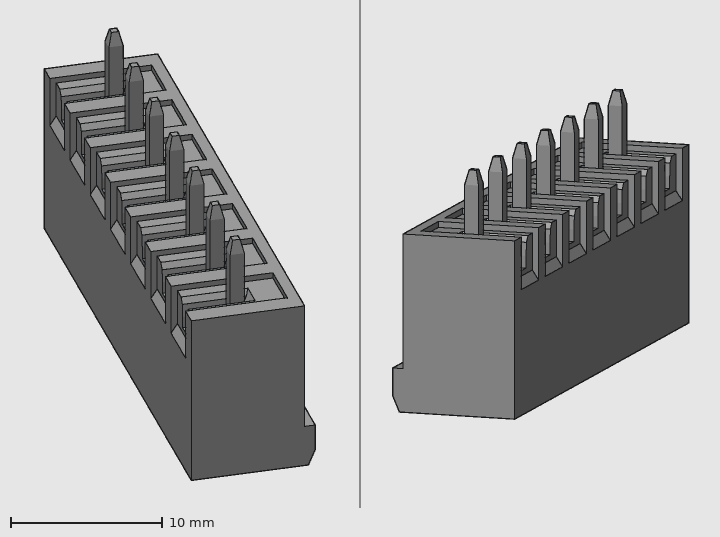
import cadquery as cq

length = 36.4
body_depth = 7.8
body_height = 12.0

ledge_overhang = 0.73
ledge_height = 2.95
ledge_bevel_depth = 0.47
ledge_bevel_height = 1.1

pin_count = 7
pin_span = 30.0
pin_width = 1.0
pin_front = 3.42
pin_protrusion = 4.0
pin_tip_width = 0.5
pin_tip_height = 1.0

recess_width = 3.6
recess_depth = 0.4
recess_back = 7.0
sill_length = 0.45
sill_rear_depth = 2.88
sill_front_depth = 3.53

slot_mouth_width = 1.8
slot_throat_width = 1.15
slot_throat_depth = 0.8
slot_bend_depth = 1.7
slot_floor_depth = 2.5
slot_back = 5.02

pin_pitch = pin_span / (pin_count - 1)
pin_back = pin_front + pin_width
pin_centre_y = pin_front + pin_width / 2
recess_floor = body_height - recess_depth
slot_throat = body_height - slot_throat_depth
slot_bend = body_height - slot_bend_depth
slot_floor = body_height - slot_floor_depth
pin_xs = [(i - (pin_count - 1) / 2) * pin_pitch for i in range(pin_count)]


def extrude_along_x(points, width, centre_x=0.0):
    """Extrude a (y, z) outline symmetrically about centre_x."""
    return (
        cq.Workplane("YZ", origin=(centre_x, 0, 0))
        .polyline(points)
        .close()
        .extrude(width / 2, both=True)
    )


def make_housing():
    ledge_back = body_depth + ledge_overhang
    outline = [
        (0, 0),
        (ledge_back - ledge_bevel_depth, 0),
        (ledge_back, ledge_bevel_height),
        (ledge_back, ledge_height),
        (body_depth, ledge_height),
        (body_depth, body_height),
        (0, body_height),
    ]
    return extrude_along_x(outline, length)


def make_recess(x):
    """Shallow recess that drops to a sloping sill at the front face."""
    outline = [
        (0, body_height - sill_front_depth),
        (sill_length, body_height - sill_rear_depth),
        (sill_length, recess_floor),
        (recess_back, recess_floor),
        (recess_back, body_height),
        (0, body_height),
    ]
    return extrude_along_x(outline, recess_width, x)


def make_slot(x):
    """Slot whose sides and rear wall close in on the pin, then drop straight to the floor."""
    half_section = [
        (pin_width / 2, slot_floor),
        (pin_width / 2, slot_bend),
        (slot_throat_width / 2, slot_throat),
        (slot_mouth_width / 2, recess_floor),
    ]
    mirrored = [(-px, pz) for px, pz in reversed(half_section)]
    section = [(x + px, pz) for px, pz in half_section + mirrored]
    trough = cq.Workplane("XZ").polyline(section).close().extrude(-slot_back)
    side_outline = [
        (0, slot_floor),
        (pin_back, slot_floor),
        (pin_back, slot_bend),
        (slot_back, recess_floor),
        (0, recess_floor),
    ]
    return trough.intersect(extrude_along_x(side_outline, slot_mouth_width, x))


def make_pin(x):
    """Square pin with a pyramidal tip, standing on the slot floor."""
    tip_base = body_height + pin_protrusion - pin_tip_height
    shank = (
        cq.Workplane("XY", origin=(x, pin_centre_y, slot_floor))
        .rect(pin_width, pin_width)
        .extrude(tip_base - slot_floor)
    )
    tip = (
        cq.Workplane("XY", origin=(x, pin_centre_y, tip_base))
        .rect(pin_width, pin_width)
        .workplane(offset=pin_tip_height)
        .rect(pin_tip_width, pin_tip_width)
        .loft(ruled=True)
    )
    return shank.union(tip)


result = make_housing()
for pin_x in pin_xs:
    result = result.cut(make_recess(pin_x)).cut(make_slot(pin_x))
for pin_x in pin_xs:
    result = result.union(make_pin(pin_x))